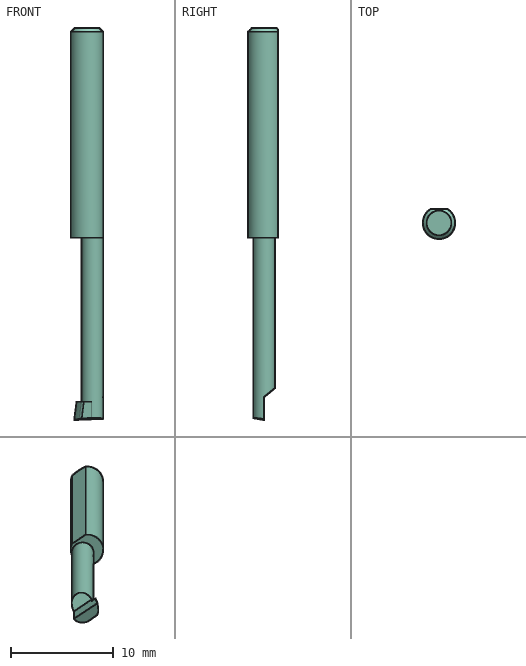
import cadquery as cq

total_length = 38.1
shank_radius = 1.58
shank_bottom = 17.7
shank_flat_y = 1.353
top_chamfer = 0.4

neck_diameter = 2.15
neck_radius = neck_diameter / 2
neck_center_x = shank_radius - neck_radius

ramp_start_z = 2.25
ramp_rise_per_y = 0.82

head_height = 1.8
head_lean = 0.23
tip_x = -1.25
flank_middle = (-1.05, -0.4)
flank_end = (-0.8, -0.8)
heel_corner = (-0.55, -1.03)

end_rise_per_x = 0.04
end_rise_per_y = 0.15


def make_shank():
    shank = (
        cq.Workplane("XY")
        .workplane(offset=shank_bottom)
        .circle(shank_radius)
        .extrude(total_length - shank_bottom)
        .faces(">Z")
        .chamfer(top_chamfer)
    )
    keep_depth = 2 * shank_radius
    keep = (
        cq.Workplane("XY")
        .box(2 * shank_radius, keep_depth, total_length, centered=(True, False, False))
        .translate((0, shank_flat_y - keep_depth, 0))
    )
    return shank.intersect(keep)


def make_neck():
    neck = cq.Workplane("XY").center(neck_center_x, 0).circle(neck_radius).extrude(shank_bottom)
    relief_depth = shank_radius
    relief = (
        cq.Workplane("YZ")
        .polyline([
            (0, 0),
            (relief_depth, 0),
            (relief_depth, ramp_start_z + ramp_rise_per_y * relief_depth),
            (0, ramp_start_z),
        ])
        .close()
        .extrude(shank_radius + neck_radius, both=True)
    )
    return neck.cut(relief)


def head_outline(plane, shift):
    return (
        plane.moveTo(neck_center_x, 0)
        .lineTo(tip_x + shift, 0)
        .threePointArc(
            (flank_middle[0] + shift, flank_middle[1]),
            (flank_end[0] + shift, flank_end[1]),
        )
        .lineTo(heel_corner[0] + shift, heel_corner[1])
        .lineTo(neck_center_x, -neck_radius)
        .close()
    )


def make_head():
    lower = head_outline(cq.Workplane("XY"), 0)
    return head_outline(lower.workplane(offset=head_height), head_lean).loft(ruled=True)


def make_end_cutter():
    block_size = 4 * shank_radius
    end_plane = cq.Plane(
        origin=(tip_x, 0, 0),
        xDir=(1, 0, end_rise_per_x),
        normal=(-end_rise_per_x, end_rise_per_y, 1),
    )
    return cq.Workplane(end_plane).rect(block_size, block_size).extrude(-block_size)


tool_end = make_neck().union(make_head()).cut(make_end_cutter())
result = make_shank().union(tool_end)